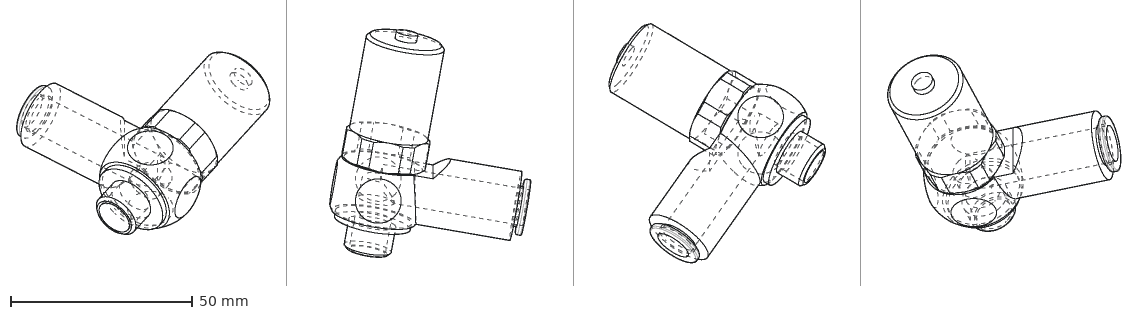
import cadquery as cq
import math


BALL_FLAT = 12.505
BALL_FLAT_RADIUS = 6.3
BALL_RADIUS = math.hypot(BALL_FLAT, BALL_FLAT_RADIUS)
BALL_HALF_LENGTH = 7.75

COLLAR_RADIUS = 10.65
COLLAR_LENGTH = 1.75
STUB_RADIUS = 6.6
STUB_END_Y = -17.65
STUB_CHAMFER = 0.9
BORE_RADIUS = 5.05

NUT_ACROSS_FLATS = 21.9
NUT_CORNER_RADIUS = 11.7
NUT_END_Y = 16.3
NUT_CHAMFER_RADIAL = 0.75
NUT_CHAMFER_AXIAL = 0.5
CAP_RADIUS = NUT_ACROSS_FLATS / 2
CAP_END_Y = 43.35
CAP_CHAMFER = 0.95
PIN_RADIUS = 3.0
OVERALL_LENGTH = 63.0
PIN_END_Y = STUB_END_Y + OVERALL_LENGTH

ARM_RADIUS = 9.7
ARM_AXIS_Y = 2.2
ARM_END_X = -38.1
ARM_RELIEF_X = -13.9
OVERALL_WIDTH = 53.5
DISC_END_X = BALL_FLAT - OVERALL_WIDTH
DISC_THICKNESS = 1.75
DISC_RADIUS = 7.8
DISC_FRONT_FILLET = 0.4
DISC_REAR_FILLET = 0.6
NECK_RADIUS = 5.7

CHAMBER_DOME_LENGTH = 1.3


def cylinder_y(radius, start, end):
    """Cylinder on the main axis between two Y positions."""
    return cq.Workplane("XZ", origin=(0, start, 0)).circle(radius).extrude(start - end)


def cylinder_x(radius, start, end):
    """Cylinder on the arm axis between two X positions."""
    return cq.Workplane("YZ", origin=(start, ARM_AXIS_Y, 0)).circle(radius).extrude(end - start)


def make_ball():
    ball = cq.Workplane("XY").sphere(BALL_RADIUS)
    envelope = cq.Workplane("XY").box(2 * BALL_FLAT, 2 * BALL_HALF_LENGTH, 2 * BALL_FLAT)
    return ball.intersect(envelope)


def make_stub():
    collar = cylinder_y(COLLAR_RADIUS, 0, -BALL_HALF_LENGTH - COLLAR_LENGTH)
    stub = cylinder_y(STUB_RADIUS, 0, STUB_END_Y).faces("<Y").chamfer(STUB_CHAMFER)
    return collar.union(stub)


def make_nut():
    length = NUT_END_Y - BALL_HALF_LENGTH
    corner_diameter = NUT_ACROSS_FLATS / math.cos(math.pi / 6)
    hexagon = (
        cq.Workplane("XZ", origin=(0, BALL_HALF_LENGTH, 0))
        .polygon(6, corner_diameter)
        .extrude(-length)
    )
    rounding = (
        cylinder_y(NUT_CORNER_RADIUS, BALL_HALF_LENGTH, NUT_END_Y)
        .faces("<Y or >Y")
        .chamfer(NUT_CHAMFER_AXIAL, NUT_CHAMFER_RADIAL)
    )
    return hexagon.intersect(rounding)


def make_cap():
    cap = cylinder_y(CAP_RADIUS, NUT_END_Y, CAP_END_Y).faces(">Y").chamfer(CAP_CHAMFER)
    return cap.union(cylinder_y(PIN_RADIUS, CAP_END_Y, PIN_END_Y))


def make_arm():
    arm = cylinder_x(ARM_RADIUS, ARM_END_X, 0)
    relief_depth = ARM_AXIS_Y + ARM_RADIUS - BALL_HALF_LENGTH
    relief = (
        cq.Workplane("XY")
        .moveTo(ARM_RELIEF_X, BALL_HALF_LENGTH)
        .lineTo(ARM_RELIEF_X - relief_depth, BALL_HALF_LENGTH + relief_depth)
        .lineTo(0, BALL_HALF_LENGTH + relief_depth)
        .lineTo(0, BALL_HALF_LENGTH)
        .close()
        .extrude(ARM_RADIUS, both=True)
    )
    disc = cylinder_x(DISC_RADIUS, DISC_END_X, DISC_END_X + DISC_THICKNESS)
    disc = disc.faces("<X").edges().fillet(DISC_FRONT_FILLET)
    disc = disc.faces(">X").edges().fillet(DISC_REAR_FILLET)
    neck = cylinder_x(NECK_RADIUS, DISC_END_X + DISC_THICKNESS, ARM_END_X)
    return arm.cut(relief).union(neck).union(disc)


def make_bores():
    stub_bore = cylinder_y(BORE_RADIUS, STUB_END_Y, -BALL_HALF_LENGTH)
    hose_bore = cylinder_x(BORE_RADIUS, DISC_END_X, 0)
    chamber = cylinder_y(BORE_RADIUS, ARM_AXIS_Y - BORE_RADIUS, ARM_AXIS_Y)
    dome = cq.Workplane("XY", origin=(0, ARM_AXIS_Y, 0)).sphere(BORE_RADIUS)
    dome = dome.intersect(cylinder_y(BORE_RADIUS, ARM_AXIS_Y, ARM_AXIS_Y + CHAMBER_DOME_LENGTH))
    return hose_bore.union(chamber).union(dome).union(stub_bore)


result = (
    make_ball()
    .union(make_stub())
    .union(make_nut())
    .union(make_cap())
    .union(make_arm())
    .cut(make_bores())
)